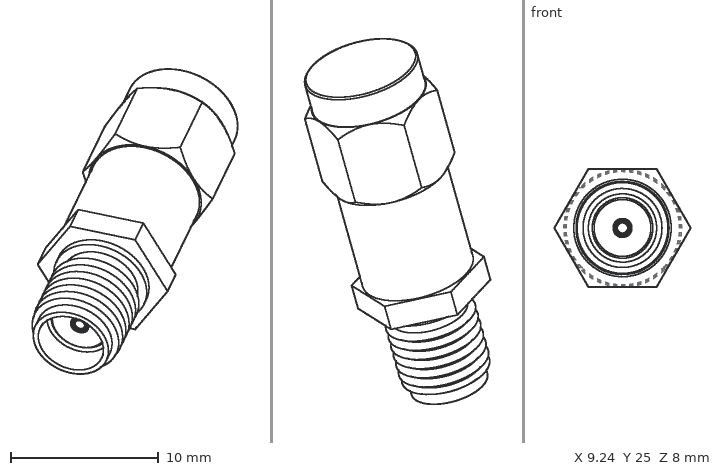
import cadquery as cq
import math

length = 25.0
hex_across_flats = 8.0
hex_across_corners = hex_across_flats / math.cos(math.radians(30))

front_y = -length / 2
neck_radius = 2.68
crest_radius = 3.15
lead_crest_radius = 3.08
thread_pitch = 0.72
full_thread_count = 6
lead_land = 0.8
lead_crest_offset = 0.22
lead_thread_width = 0.5
collar_radius = 3.3
collar_width = 0.52
socket_radius = 2.312
socket_depth = 1.95
socket_cone_depth = 0.12

flange_front_y = front_y + 7.1
flange_width = 1.82
barrel_radius = 3.88

nut_front_y = front_y + 16.55
nut_hex_back_y = front_y + 22.72
nut_collar_radius = 3.95
nut_collar_chamfer = 0.12
nut_end_radius = 4.0

insulator_radius = 2.05
insulator_edge_chamfer = 0.12
insulator_bore_chamfer = 0.062
contact_radius = 0.58
contact_bore_radius = 0.35
contact_bore_depth = 2.0
contact_edge_chamfer = 0.062
contact_mouth_chamfer = 0.08
drill_point_angle = 118.0

insulator_front_y = front_y + socket_depth
insulator_back_y = flange_front_y


def revolve_about_y(points):
    """Solid of revolution from (radius, y) points."""
    return cq.Workplane("XY").polyline(points).close().revolve(360, (0, 0, 0), (0, 1, 0))


def hexagon_bar(start_y, end_y):
    """Hexagonal bar along Y with its corners on the X axis."""
    plane = cq.Workplane("XZ", origin=(0, end_y, 0))
    return plane.polygon(6, hex_across_corners).extrude(end_y - start_y)


def make_housing():
    """Housing with a threaded front, a collar, a hexagonal flange, a round barrel and a coned socket."""
    thread_front_y = front_y + lead_land
    points = [
        (socket_radius, front_y),
        (neck_radius, front_y),
        (neck_radius, thread_front_y),
        (lead_crest_radius, thread_front_y + lead_crest_offset),
    ]
    for turn in range(full_thread_count):
        root_y = thread_front_y + lead_thread_width + turn * thread_pitch
        points.append((neck_radius, root_y))
        points.append((crest_radius, root_y + thread_pitch / 2))
    thread_back_y = thread_front_y + lead_thread_width + full_thread_count * thread_pitch
    points += [
        (neck_radius, thread_back_y),
        (neck_radius, flange_front_y - collar_width),
        (collar_radius, flange_front_y - collar_width),
        (collar_radius, flange_front_y),
        (barrel_radius, flange_front_y),
        (barrel_radius, nut_front_y),
        (0, nut_front_y),
        (0, insulator_back_y),
        (insulator_radius, insulator_back_y),
        (insulator_radius, insulator_front_y + socket_cone_depth),
        (socket_radius, insulator_front_y),
    ]
    flange = hexagon_bar(flange_front_y, flange_front_y + flange_width)
    return revolve_about_y(points).union(flange)


def make_coupling_nut():
    """Hexagonal nut with 45 degree turned ends and a round rear collar."""
    back_y = length / 2
    corner_radius = hex_across_corners / 2
    turned_depth = corner_radius - nut_end_radius
    turned_envelope = revolve_about_y([
        (0, nut_front_y),
        (nut_end_radius, nut_front_y),
        (corner_radius, nut_front_y + turned_depth),
        (corner_radius, nut_hex_back_y - turned_depth),
        (nut_end_radius, nut_hex_back_y),
        (0, nut_hex_back_y),
    ])
    rear_collar = revolve_about_y([
        (0, nut_hex_back_y),
        (nut_collar_radius, nut_hex_back_y),
        (nut_collar_radius, back_y - nut_collar_chamfer),
        (nut_collar_radius - nut_collar_chamfer, back_y),
        (0, back_y),
    ])
    return hexagon_bar(nut_front_y, nut_hex_back_y).intersect(turned_envelope).union(rear_collar)


def make_insulator():
    """Insulating sleeve between the housing and the centre contact."""
    return revolve_about_y([
        (contact_radius, insulator_front_y + insulator_bore_chamfer),
        (contact_radius + insulator_bore_chamfer, insulator_front_y),
        (insulator_radius - insulator_edge_chamfer, insulator_front_y),
        (insulator_radius, insulator_front_y + insulator_edge_chamfer),
        (insulator_radius, insulator_back_y),
        (contact_radius, insulator_back_y),
    ])


def make_contact():
    """Centre contact with chamfered edges and a blind drilled bore."""
    tip_y = insulator_front_y
    bore_end_y = insulator_front_y + contact_bore_depth
    drill_point_depth = contact_bore_radius / math.tan(math.radians(drill_point_angle / 2))
    return revolve_about_y([
        (contact_bore_radius, tip_y + contact_mouth_chamfer),
        (contact_bore_radius + contact_mouth_chamfer, tip_y),
        (contact_radius - contact_edge_chamfer, tip_y),
        (contact_radius, tip_y + contact_edge_chamfer),
        (contact_radius, insulator_back_y),
        (0, insulator_back_y),
        (0, bore_end_y + drill_point_depth),
        (contact_bore_radius, bore_end_y),
    ])


housing = make_housing()
coupling_nut = make_coupling_nut()
insulator = make_insulator()
contact = make_contact()

result = cq.Compound.makeCompound([
    housing.val(),
    coupling_nut.val(),
    insulator.val(),
    contact.val(),
])